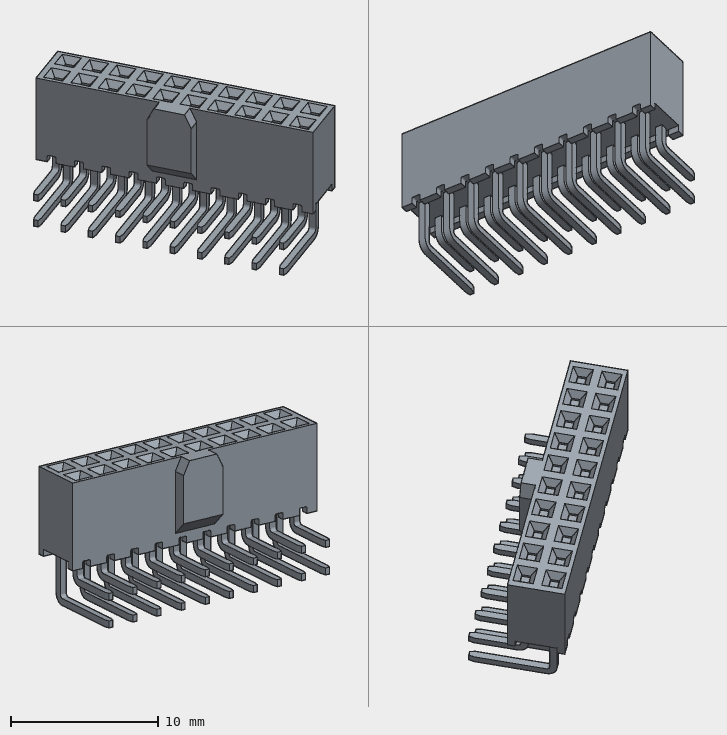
import cadquery as cq


contacts_per_row = 10
pitch = 2.0
column_x = [(i - (contacts_per_row - 1) / 2) * pitch for i in range(contacts_per_row)]
front_row_y = -pitch / 2
back_row_y = pitch / 2

housing_length = 20.3
housing_depth = 2 * pitch
housing_height = 6.37
foot_height = 0.5
foot_thickness = 0.55
notch_width = 0.65
notch_corner_radius = 0.12

funnel_mouth = 1.4
funnel_throat = 0.6
funnel_depth = 0.47
throat_depth = 0.16

key_width = 3.25
key_top_width = 2.25
key_depth = 1.0
key_height = 5.48
key_shoulder_drop = 0.97

pin_thickness = 0.5
bend_inner_radius = 0.25
overall_depth = 6.9
overall_height = 9.85
tip_length = 0.39
tip_taper = 0.091

housing_front_y = -housing_depth / 2
housing_back_y = housing_depth / 2
pin_tip_y = housing_back_y - overall_depth
back_pin_bottom_z = housing_height - overall_height
front_pin_bottom_z = back_pin_bottom_z + pitch


def make_housing():
    """Block with a channel along its underside, leaving a front and a back foot."""
    block = cq.Workplane("XY").box(
        housing_length, housing_depth, housing_height, centered=(True, True, False)
    )
    channel = cq.Workplane("XY").box(
        housing_length, housing_depth - 2 * foot_thickness, foot_height, centered=(True, True, False)
    )
    return block.cut(channel)


def make_foot_notch(x):
    """Slot through both feet at one column, with rounded upper corners."""
    return (
        cq.Workplane("XY")
        .box(notch_width, housing_depth, foot_height, centered=(True, True, False))
        .edges("|Y and >Z")
        .fillet(notch_corner_radius)
        .translate((x, 0, 0))
    )


def make_socket(x, y):
    """Square funnel that narrows downward into a shallow square throat."""
    funnel = (
        cq.Workplane("XY")
        .workplane(offset=housing_height)
        .center(x, y)
        .rect(funnel_mouth, funnel_mouth)
        .workplane(offset=-funnel_depth)
        .rect(funnel_throat, funnel_throat)
        .loft(ruled=True)
    )
    return funnel.faces("<Z").workplane().rect(funnel_throat, funnel_throat).extrude(throat_depth)


def make_key():
    """Key with sloped shoulders at the top and a 45 degree underside."""
    key_bottom_z = housing_height - key_height
    shoulder_z = housing_height - key_shoulder_drop
    front_outline = (
        cq.Workplane("XZ", origin=(0, housing_front_y, 0))
        .moveTo(-key_width / 2, key_bottom_z)
        .lineTo(key_width / 2, key_bottom_z)
        .lineTo(key_width / 2, shoulder_z)
        .lineTo(key_top_width / 2, housing_height)
        .lineTo(-key_top_width / 2, housing_height)
        .lineTo(-key_width / 2, shoulder_z)
        .close()
        .extrude(key_depth)
    )
    side_outline = (
        cq.Workplane("YZ")
        .moveTo(housing_front_y, key_bottom_z)
        .lineTo(housing_front_y - key_depth, key_bottom_z + key_depth)
        .lineTo(housing_front_y - key_depth, housing_height)
        .lineTo(housing_front_y, housing_height)
        .close()
        .extrude(key_width / 2, both=True)
    )
    return front_outline.intersect(side_outline)


def make_pin(x, row_y, bottom_z):
    """Square pin that runs down from the housing, bends forward and narrows in X at its tip."""
    front_y = row_y - pin_thickness / 2
    back_y = row_y + pin_thickness / 2
    leg_top_z = foot_height
    arm_top_z = bottom_z + pin_thickness
    bend_outer_radius = bend_inner_radius + pin_thickness
    bent_bar = (
        cq.Workplane("YZ", origin=(x, 0, 0))
        .moveTo(back_y, leg_top_z)
        .lineTo(back_y, bottom_z + bend_outer_radius)
        .radiusArc((back_y - bend_outer_radius, bottom_z), bend_outer_radius)
        .lineTo(pin_tip_y, bottom_z)
        .lineTo(pin_tip_y, arm_top_z)
        .lineTo(front_y - bend_inner_radius, arm_top_z)
        .radiusArc((front_y, arm_top_z + bend_inner_radius), -bend_inner_radius)
        .lineTo(front_y, leg_top_z)
        .close()
        .extrude(pin_thickness / 2, both=True)
    )
    half_width = pin_thickness / 2
    plan_outline = (
        cq.Workplane("XY", origin=(x, 0, bottom_z))
        .moveTo(-half_width, back_y)
        .lineTo(-half_width, pin_tip_y + tip_length)
        .lineTo(-half_width + tip_taper, pin_tip_y)
        .lineTo(half_width - tip_taper, pin_tip_y)
        .lineTo(half_width, pin_tip_y + tip_length)
        .lineTo(half_width, back_y)
        .close()
        .extrude(leg_top_z - bottom_z)
    )
    return bent_bar.intersect(plan_outline)


result = make_housing().union(make_key())
for x in column_x:
    result = result.cut(make_foot_notch(x))
    for row_y, bottom_z in ((front_row_y, front_pin_bottom_z), (back_row_y, back_pin_bottom_z)):
        result = result.cut(make_socket(x, row_y))
        result = result.union(make_pin(x, row_y, bottom_z))